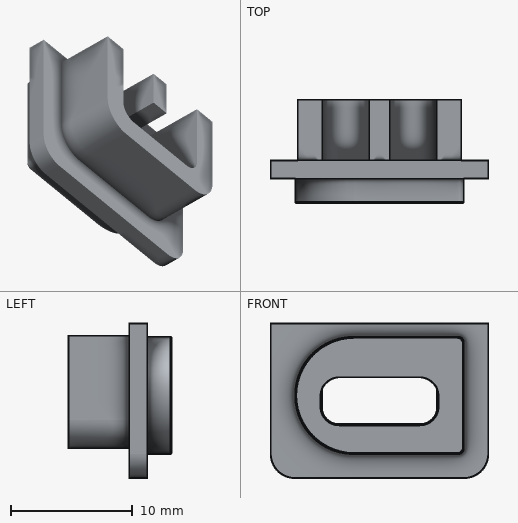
import cadquery as cq


plate_width = 17.9
plate_height = 12.73
plate_thickness = 1.5
plate_corner_radius = 2.0

boss_width = 13.89
boss_height = 9.67
boss_depth = 2.0
boss_bottom = 1.97
boss_corner_radius = 0.5
boss_edge_chamfer = 0.1

slot_width = 9.74
slot_height = 3.95
slot_bottom = 4.33
slot_corner_radius = 1.6

holder_length = 5.0
holder_wall = 2.0
holder_width = 13.46
holder_bottom = 2.45
holder_top_drop = 1.0
holder_top = plate_height - holder_top_drop
holder_outer_radius = 2.33
holder_inner_radius = 1.35

rib_width = 1.68
rib_bottom = 8.48


def block(width, bottom, top, front, back):
    """Box centred on X, spanning the given Z and Y ranges."""
    size = (width, back - front, top - bottom)
    return cq.Workplane("XY").box(*size, centered=(True, False, False)).translate((0, front, bottom))


def make_plate():
    plate = block(plate_width, 0, plate_height, 0, plate_thickness)
    return plate.edges("|Y and <Z").fillet(plate_corner_radius)


def make_boss():
    round_end_radius = boss_height / 2
    boss = block(boss_width, boss_bottom, boss_bottom + boss_height, -boss_depth, 0)
    boss = boss.edges("|Y and >X").fillet(boss_corner_radius)
    end_centre = (round_end_radius - boss_width / 2, boss_bottom + round_end_radius)
    square_end = block(2 * round_end_radius, 0, plate_height, -boss_depth, 0)
    square_end = square_end.translate((end_centre[0] - round_end_radius, 0, 0))
    round_end = cq.Workplane("XZ").center(*end_centre).circle(round_end_radius).extrude(boss_depth)
    boss = boss.cut(square_end).union(round_end)
    return boss.faces("<Y").chamfer(boss_edge_chamfer)


def make_slot():
    slot = block(slot_width, slot_bottom, slot_bottom + slot_height, -boss_depth, plate_thickness)
    return slot.edges("|Y").fillet(slot_corner_radius)


def make_holder():
    front = plate_thickness
    back = plate_thickness + holder_length
    holder = block(holder_width, holder_bottom, holder_top, front, back)
    holder = holder.edges("|Y and <Z").fillet(holder_outer_radius)
    channel_width = holder_width - 2 * holder_wall
    channel = block(channel_width, holder_bottom + holder_wall, holder_top, front, back)
    channel = channel.edges("|Y and <Z").fillet(holder_inner_radius)
    rib = block(rib_width, rib_bottom, holder_top, front, back)
    return holder.cut(channel).union(rib)


result = make_plate().union(make_boss()).cut(make_slot()).union(make_holder())